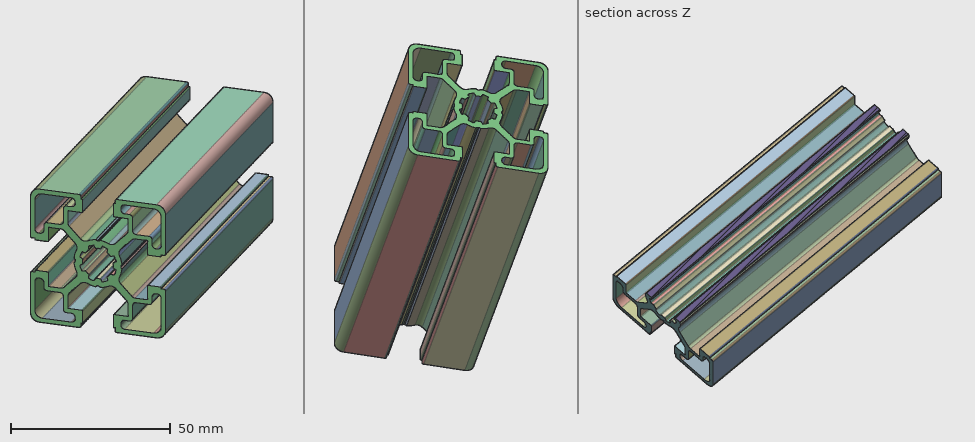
import cadquery as cq
import math

width = 45.0
length = 100.0
corner_radius = 3.0

wall = 1.5
slot_mouth_half = 5.7
mouth_step_depth = wall
mouth_edge_radius = 0.6
slot_lip_half = 5.1
lip_depth = 6.0
lip_edge_radius = 0.3
lip_back_radius = 0.3
slot_half = 10.0
slot_corner_radius = 0.2

web_thickness = 2.5
web_blend_radius = 1.5
hub_radius = 8.0
hub_blend_radius = 2.0
hub_groove_half = 0.8
hub_groove_floor_half = 0.2
hub_groove_depth = 0.4

finger_end_wall = 2.5
finger_radius = 1.3
shelf_radius = 1.0
chamber_inner_radius = 1.2
chamber_outer_radius = 2.5

tooth_count = 8
bore_tip_radius = 5.1
bore_root_radius = 6.2
tip_half_angle = 9.3
root_half_angle = 13.5
tooth_edge_radius = 0.15

half = width / 2
step_level = half - mouth_step_depth
lip_back = half - lip_depth
web_offset = web_thickness / math.sqrt(2)


def extrude(outline):
    """Extrude an XZ outline along the full length, centred on the origin."""
    return outline.extrude(length / 2, both=True)


def fillet_at(body, radius, corners):
    """Round the lengthwise edges that pass through the given (x, z) corners."""
    for x, z in corners:
        nearest = cq.selectors.NearestToPointSelector((x, 0, z))
        body = body.edges("|Y").edges(nearest).fillet(radius)
    return body


def polar(radius, degrees):
    """Profile point at a radius and angle from the bar's axis."""
    angle = math.radians(degrees)
    return (radius * math.cos(angle), radius * math.sin(angle))


def make_slot():
    """T-slot void in the +Z side, running down to the webs and the grooved hub."""
    hub_x = (math.sqrt(2 * hub_radius**2 - web_offset**2) - web_offset) / 2
    web_foot = (hub_x, hub_x + web_offset)
    web_top = (slot_half, slot_half + web_offset)

    groove_angle = math.degrees(math.acos(hub_groove_half / hub_radius))
    foot_angle = math.degrees(math.atan2(web_foot[1], web_foot[0]))
    groove_floor = hub_radius - hub_groove_depth

    outline = (
        cq.Workplane("XZ")
        .moveTo(0, half)
        .lineTo(slot_mouth_half + mouth_edge_radius, half)
        .radiusArc((slot_mouth_half, half - mouth_edge_radius), -mouth_edge_radius)
        .lineTo(slot_mouth_half, step_level)
        .lineTo(slot_lip_half + lip_edge_radius, step_level)
        .radiusArc((slot_lip_half, step_level - lip_edge_radius), -lip_edge_radius)
        .lineTo(slot_lip_half, lip_back)
        .lineTo(slot_half, lip_back)
        .lineTo(*web_top)
        .lineTo(*web_foot)
        .threePointArc(
            polar(hub_radius, (foot_angle + groove_angle) / 2),
            polar(hub_radius, groove_angle),
        )
        .lineTo(hub_groove_floor_half, groove_floor)
        .lineTo(0, groove_floor)
        .close()
    )
    half_slot = extrude(outline)
    half_slot = fillet_at(half_slot, lip_back_radius, [(slot_lip_half, lip_back)])
    half_slot = fillet_at(half_slot, slot_corner_radius, [(slot_half, lip_back)])
    half_slot = fillet_at(half_slot, web_blend_radius, [web_top])
    half_slot = fillet_at(half_slot, hub_blend_radius, [web_foot])
    return half_slot.union(half_slot.mirror("YZ"))


def make_chamber():
    """Hollow chamber in the +X +Z corner, with a finger behind each lip."""
    outer = half - wall
    inner = slot_half + wall
    shelf = lip_back + wall
    finger_end = slot_lip_half + finger_end_wall

    inner_corner = (inner, inner)
    outer_corner = (outer, outer)
    shelf_corners = [(shelf, inner), (inner, shelf)]
    x_finger_corners = [(shelf, finger_end), (outer, finger_end)]
    z_finger_corners = [(finger_end, outer), (finger_end, shelf)]
    outline = [
        inner_corner,
        shelf_corners[0],
        *x_finger_corners,
        outer_corner,
        *z_finger_corners,
        shelf_corners[1],
    ]

    chamber = extrude(cq.Workplane("XZ").polyline(outline).close())
    chamber = fillet_at(chamber, chamber_inner_radius, [inner_corner])
    chamber = fillet_at(chamber, shelf_radius, shelf_corners)
    chamber = fillet_at(chamber, finger_radius, x_finger_corners + z_finger_corners)
    return fillet_at(chamber, chamber_outer_radius, [outer_corner])


def make_bore():
    """Bore void with inward teeth on the main axes and the diagonals."""
    pitch = 360 / tooth_count
    outline = cq.Workplane("XZ").moveTo(*polar(bore_tip_radius, -tip_half_angle))
    for index in range(tooth_count):
        tooth = index * pitch
        next_tooth = tooth + pitch
        outline = (
            outline.threePointArc(
                polar(bore_tip_radius, tooth),
                polar(bore_tip_radius, tooth + tip_half_angle),
            )
            .lineTo(*polar(bore_root_radius, tooth + root_half_angle))
            .threePointArc(
                polar(bore_root_radius, tooth + pitch / 2),
                polar(bore_root_radius, next_tooth - root_half_angle),
            )
        )
        if index < tooth_count - 1:
            outline = outline.lineTo(*polar(bore_tip_radius, next_tooth - tip_half_angle))
    return extrude(outline.close()).edges("|Y").fillet(tooth_edge_radius)


bar = cq.Workplane("XY").box(width, length, width).edges("|Y").fillet(corner_radius)

slot = make_slot()
chamber = make_chamber()
for quarter in range(4):
    turn = 90 * quarter
    bar = bar.cut(slot.rotate((0, 0, 0), (0, 1, 0), turn))
    bar = bar.cut(chamber.rotate((0, 0, 0), (0, 1, 0), turn))

result = bar.cut(make_bore())